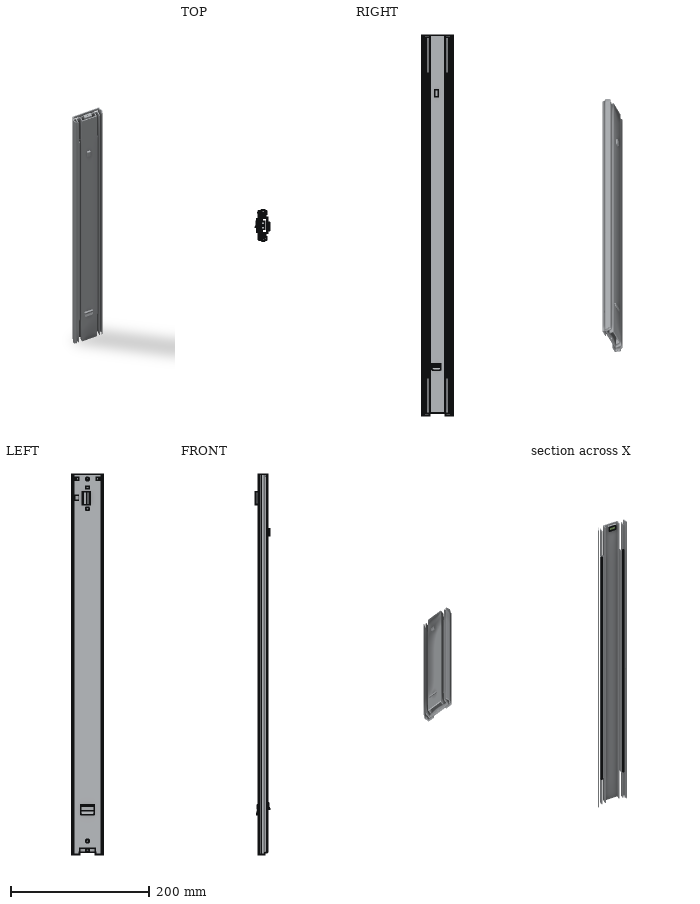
import cadquery as cq
import math


LENGTH = 550.0
WIDTH = 45.5
DEPTH = 20.5
TOP = LENGTH / 2
SHEET = 1.2
PLAY = 0.5
INNER_BOTTOM = -271.5

LATCH_REACH = 4.35
RAIL_BACK = LATCH_REACH - DEPTH / 2
RACE_BULGE = 1.75
SIDE_Y = WIDTH / 2 - RACE_BULGE
CORNER_RADIUS = 1.0
RACE_RADIUS = 3.5
RACE_X = 0.8
RACE_Y = WIDTH / 2 - RACE_RADIUS
LIP_ANGLE = math.radians(25)
LIP_X = 6.0
LIP_RELIEF_X = 3.6
LIP_RELIEF = 3.0
NOTCH_WIDTH = 22.5
NOTCH_HEIGHT = 9.5
HOLE_DIAMETER = 5.0
HOLE_HEIGHTS = (268.0, 225.0, -255.0)
SLOT_WIDTH = 5.0
SLOT_HEIGHT = 4.0
SLOT_Z = 256.0
WINDOW_WIDTH = 7.0
WINDOW_HEIGHT = 4.0
WINDOW_Y = 16.0
WINDOW_Z = 268.5

MARKER_Y = 13.0
MARKER_WIDTH = 5.0
MARKER_RISE = 0.7
MARKER_BOTTOM = 237.5
MARKER_HEIGHT = 7.0

HOOK_WIDTH = 19.0
HOOK_TOP = -202.5
HOOK_KNEE_DROP = 9.0
HOOK_DROP = 15.0
HOOK_TOP_REACH = 1.85
HOOK_KNEE_REACH = 1.2
HOOK_TIP_REACH = 2.7
HOOK_SHEET = 0.8
HOOK_BEND = 1.0
HOOK_ROOT = 1.5
HOOK_CORNER = 1.5
DRAWER_HOOK_WIDTH = 12.5
DRAWER_HOOK_Y = -1.5
DRAWER_HOOK_TOP = -199.5
DRAWER_HOOK_DROP = 9.5

MIDDLE_BACK = -3.0
MIDDLE_FRONT = 6.0
OUTER_BALL_GAP = 2.55
MIDDLE_SIDE = SIDE_Y - SHEET - OUTER_BALL_GAP
MIDDLE_TOP = -INNER_BOTTOM
MIDDLE_HOLE_DIAMETER = 5.0
MIDDLE_HOLE_Z = -268.5

LUG_REACH = 2.7
DRAWER_FRONT = DEPTH / 2 - LUG_REACH
DRAWER_BACK = 1.0
DRAWER_SIDE = 11.5
DRAWER_CHAMFER = 1.0
LUG_Y = -1.5
LUG_WIDTH = 5.0
LUG_BOTTOM = 186.0
LUG_HEIGHT = 10.5

CAGE_SHEET = 0.65
CAGE_LENGTH = 440.0
OUTER_CAGE_FRONT = 3.5
INNER_CAGE_FRONT = 5.0
INNER_CAGE_SIDE = 14.5

LATCH_SECTION = [(0, 7.5), (3.5, 6.0), (2.7, 0.8), (LATCH_REACH, -2.5), (0, -4.0)]
LATCH_BOTTOM = 231.0
LATCH_HEIGHT = 18.5

STOP_FRONT = 3.6
STOP_WIDTH = 11.5
STOP_HEIGHT = 8.0
STOP_HOLE = 1.5


def box(x_min, x_max, y_center, width, z_min, height):
    """Box given by its X range, its middle in Y and its lower end."""
    return cq.Workplane("XY").box(x_max - x_min, width, height, centered=(False, True, False)).translate(
        (x_min, y_center, z_min)
    )


def channel(x_back, x_front, half_width, sheet, z_min, height):
    """Plain U channel with its web at x_back and its open side towards x_front."""
    inward = math.copysign(sheet, x_front - x_back)
    outline = [
        (x_front, half_width),
        (x_back, half_width),
        (x_back, -half_width),
        (x_front, -half_width),
        (x_front, -half_width + sheet),
        (x_back + inward, -half_width + sheet),
        (x_back + inward, half_width - sheet),
        (x_front, half_width - sheet),
    ]
    return cq.Workplane("XY").workplane(offset=z_min).polyline(outline).close().extrude(height)


def race_arc(radius, side_y):
    """Start, middle and end of the ball race arc, from the flange side to the sloping lip."""
    start_angle = math.acos((side_y - RACE_Y) / radius)
    points = []
    for angle in (-start_angle, 0, LIP_ANGLE):
        points.append((RACE_X + radius * math.sin(angle), RACE_Y + radius * math.cos(angle)))
    return points


def lip_end(race_end):
    """Front end of the straight lip that leaves the race at the lip angle."""
    return (LIP_X, race_end[1] - (LIP_X - race_end[0]) * math.tan(LIP_ANGLE))


def cabinet_half():
    """Half of the cabinet rail at +Y, full length."""
    outer = race_arc(RACE_RADIUS, SIDE_Y)
    inner = race_arc(RACE_RADIUS - SHEET, SIDE_Y - SHEET)
    bend = CORNER_RADIUS * (1 - math.sqrt(0.5))
    return (
        cq.Workplane("XY").workplane(offset=-TOP)
        .moveTo(RAIL_BACK, 0)
        .lineTo(RAIL_BACK, SIDE_Y - CORNER_RADIUS)
        .threePointArc((RAIL_BACK + bend, SIDE_Y - bend), (RAIL_BACK + CORNER_RADIUS, SIDE_Y))
        .lineTo(*outer[0])
        .threePointArc(outer[1], outer[2])
        .lineTo(*lip_end(outer[2]))
        .lineTo(*lip_end(inner[2]))
        .lineTo(*inner[2])
        .threePointArc(inner[1], inner[0])
        .lineTo(RAIL_BACK + SHEET, SIDE_Y - SHEET)
        .lineTo(RAIL_BACK + SHEET, 0)
        .close()
        .extrude(LENGTH)
    )


def hook(face_x, outward, y_center, width, z_top, drop):
    """Bent sheet hook that leaves a rail face at its top and flares outward at its tip."""
    knee_z = z_top - drop * HOOK_KNEE_DROP / HOOK_DROP
    tip_z = z_top - drop
    outline = [
        (0, z_top),
        (HOOK_TOP_REACH, z_top - HOOK_BEND),
        (HOOK_KNEE_REACH, knee_z),
        (HOOK_TIP_REACH, tip_z),
        (HOOK_TIP_REACH - HOOK_SHEET, tip_z),
        (HOOK_KNEE_REACH - HOOK_SHEET, knee_z),
        (HOOK_TOP_REACH - HOOK_SHEET, z_top - HOOK_BEND - HOOK_ROOT),
        (0, z_top - HOOK_ROOT),
    ]
    placed = [(face_x + outward * reach, z) for reach, z in outline]
    blank = cq.Workplane("XZ").polyline(placed).close().extrude(width / 2, both=True)
    rounding = (
        box(-LENGTH, LENGTH, 0, width, tip_z, drop).edges("|X and <Z").fillet(HOOK_CORNER)
    )
    return blank.intersect(rounding).translate((0, y_center, 0))


def marker_tab():
    """Small wedge on the cabinet web, rising towards +Y."""
    outline = [
        (RAIL_BACK, MARKER_Y),
        (RAIL_BACK, MARKER_Y + MARKER_WIDTH),
        (RAIL_BACK - MARKER_RISE, MARKER_Y + MARKER_WIDTH),
    ]
    return cq.Workplane("XY").workplane(offset=MARKER_BOTTOM).polyline(outline).close().extrude(MARKER_HEIGHT)


def web_cut(y_center, width, z_center, height):
    """Rectangular opening through the cabinet web."""
    return box(RAIL_BACK - SHEET, RAIL_BACK + 2 * SHEET, y_center, width, z_center - height / 2, height)


def make_cabinet_rail():
    half = cabinet_half()
    rail = half.union(half.mirror("XZ"))

    rail = rail.cut(web_cut(0, NOTCH_WIDTH, -TOP, 2 * NOTCH_HEIGHT))
    rail = rail.cut(web_cut(0, SLOT_WIDTH, SLOT_Z, SLOT_HEIGHT))
    for side in (-1, 1):
        rail = rail.cut(web_cut(side * WINDOW_Y, WINDOW_WIDTH, WINDOW_Z, WINDOW_HEIGHT))
    holes = (
        cq.Workplane("YZ").workplane(offset=RAIL_BACK)
        .pushPoints([(0, z) for z in HOLE_HEIGHTS])
        .circle(HOLE_DIAMETER / 2)
        .extrude(SHEET)
    )
    rail = rail.cut(holes)

    rail = rail.cut(box(LIP_RELIEF_X, LIP_X, 0, 3 * SIDE_Y, -TOP, LIP_RELIEF))

    rail = rail.union(hook(RAIL_BACK, -1, 0, HOOK_WIDTH, HOOK_TOP, HOOK_DROP))
    return rail.union(marker_tab())


def make_intermediate_rail():
    rail = channel(MIDDLE_BACK, MIDDLE_FRONT, MIDDLE_SIDE, SHEET, INNER_BOTTOM, MIDDLE_TOP - INNER_BOTTOM)
    hole = (
        cq.Workplane("YZ").workplane(offset=MIDDLE_BACK)
        .center(0, MIDDLE_HOLE_Z)
        .circle(MIDDLE_HOLE_DIAMETER / 2)
        .extrude(SHEET)
    )
    return rail.cut(hole)


def make_drawer_rail():
    rail = channel(DRAWER_FRONT, DRAWER_BACK, DRAWER_SIDE, SHEET, INNER_BOTTOM, TOP - INNER_BOTTOM)
    rail = rail.faces("<Z").edges(">X").chamfer(DRAWER_CHAMFER)
    rail = rail.union(box(DRAWER_FRONT, DRAWER_FRONT + LUG_REACH, LUG_Y, LUG_WIDTH, LUG_BOTTOM, LUG_HEIGHT))
    return rail.union(
        hook(DRAWER_FRONT, 1, DRAWER_HOOK_Y, DRAWER_HOOK_WIDTH, DRAWER_HOOK_TOP, DRAWER_HOOK_DROP)
    )


def make_outer_cage():
    """Ball cage between the cabinet rail and the intermediate rail."""
    back = MIDDLE_BACK - PLAY - CAGE_SHEET
    half_width = MIDDLE_SIDE + PLAY + CAGE_SHEET
    return channel(back, OUTER_CAGE_FRONT, half_width, CAGE_SHEET, -CAGE_LENGTH / 2, CAGE_LENGTH)


def make_inner_cage():
    """Ball cage between the intermediate rail and the drawer rail."""
    back = MIDDLE_BACK + SHEET + PLAY
    return channel(back, INNER_CAGE_FRONT, INNER_CAGE_SIDE, CAGE_SHEET, -CAGE_LENGTH / 2, CAGE_LENGTH)


def make_latch():
    outline = [(RAIL_BACK - reach, y) for reach, y in LATCH_SECTION]
    return cq.Workplane("XY").workplane(offset=LATCH_BOTTOM).polyline(outline).close().extrude(LATCH_HEIGHT)


def make_stop_block():
    block = box(MIDDLE_BACK + SHEET, STOP_FRONT, 0, STOP_WIDTH, TOP - STOP_HEIGHT, STOP_HEIGHT)
    return block.faces(">Z").workplane(centerOption="CenterOfBoundBox").hole(STOP_HOLE)


cabinet_rail = make_cabinet_rail()
intermediate_rail = make_intermediate_rail()
drawer_rail = make_drawer_rail()
outer_cage = make_outer_cage()
inner_cage = make_inner_cage()
latch = make_latch()
stop_block = make_stop_block()

result = cq.Compound.makeCompound([
    cabinet_rail.val(),
    intermediate_rail.val(),
    drawer_rail.val(),
    outer_cage.val(),
    inner_cage.val(),
    latch.val(),
    stop_block.val(),
])